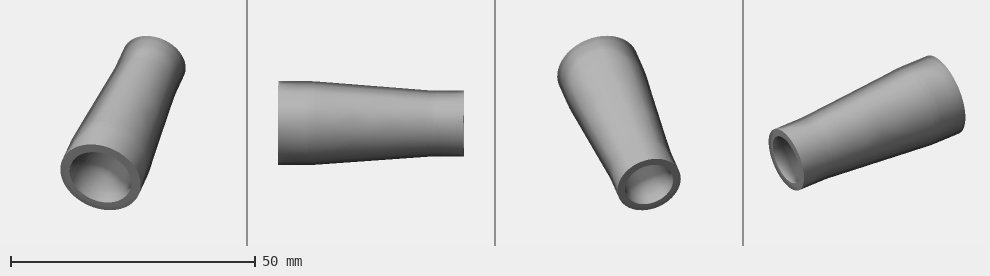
import cadquery as cq
import math

LENGTH = 38.0
STRAIGHT_LENGTH = 6.0
BEND_RADIUS = 20.0

WIDE_OUTER_DIAMETER = 17.2
WIDE_BORE_DIAMETER = 13.2
NARROW_OUTER_DIAMETER = 13.5
NARROW_BORE_DIAMETER = 10.3

WIDE_WALL = (WIDE_OUTER_DIAMETER - WIDE_BORE_DIAMETER) / 2
NARROW_WALL = (NARROW_OUTER_DIAMETER - NARROW_BORE_DIAMETER) / 2

TAPER_START = STRAIGHT_LENGTH
TAPER_END = LENGTH - STRAIGHT_LENGTH


def taper_angle(radius_drop, bend_sum):
    """Half angle of the cone tangent to two blend arcs whose radii add up to bend_sum."""
    taper_length = TAPER_END - TAPER_START
    center_rise = bend_sum - radius_drop
    center_distance = math.hypot(taper_length, center_rise)
    return math.atan2(taper_length, center_rise) - math.acos(bend_sum / center_distance)


def bend_offset(bend_radius, angle):
    """Axial and radial travel along a blend arc after turning by an angle."""
    axial = bend_radius * math.sin(angle)
    radial = bend_radius * (1 - math.cos(angle))
    return axial, radial


def revolved_taper(wide_diameter, narrow_diameter, wide_bend, narrow_bend):
    """Solid of revolution about Y: cylinder, arc, cone, arc, cylinder."""
    wide_radius = wide_diameter / 2
    narrow_radius = narrow_diameter / 2
    angle = taper_angle(wide_radius - narrow_radius, wide_bend + narrow_bend)

    def on_wide_bend(turn):
        axial, radial = bend_offset(wide_bend, turn)
        return TAPER_START + axial, wide_radius - radial

    def on_narrow_bend(turn):
        axial, radial = bend_offset(narrow_bend, turn)
        return TAPER_END - axial, narrow_radius + radial

    return (
        cq.Workplane("YZ")
        .lineTo(0, wide_radius)
        .lineTo(*on_wide_bend(0))
        .threePointArc(on_wide_bend(angle / 2), on_wide_bend(angle))
        .lineTo(*on_narrow_bend(angle))
        .threePointArc(on_narrow_bend(angle / 2), on_narrow_bend(0))
        .lineTo(LENGTH, narrow_radius)
        .lineTo(LENGTH, 0)
        .close()
        .revolve(360, (0, 0, 0), (1, 0, 0))
    )


outer_body = revolved_taper(
    WIDE_OUTER_DIAMETER, NARROW_OUTER_DIAMETER, BEND_RADIUS, BEND_RADIUS - NARROW_WALL
)
bore = revolved_taper(
    WIDE_BORE_DIAMETER, NARROW_BORE_DIAMETER, BEND_RADIUS - WIDE_WALL, BEND_RADIUS
)

result = outer_body.cut(bore)